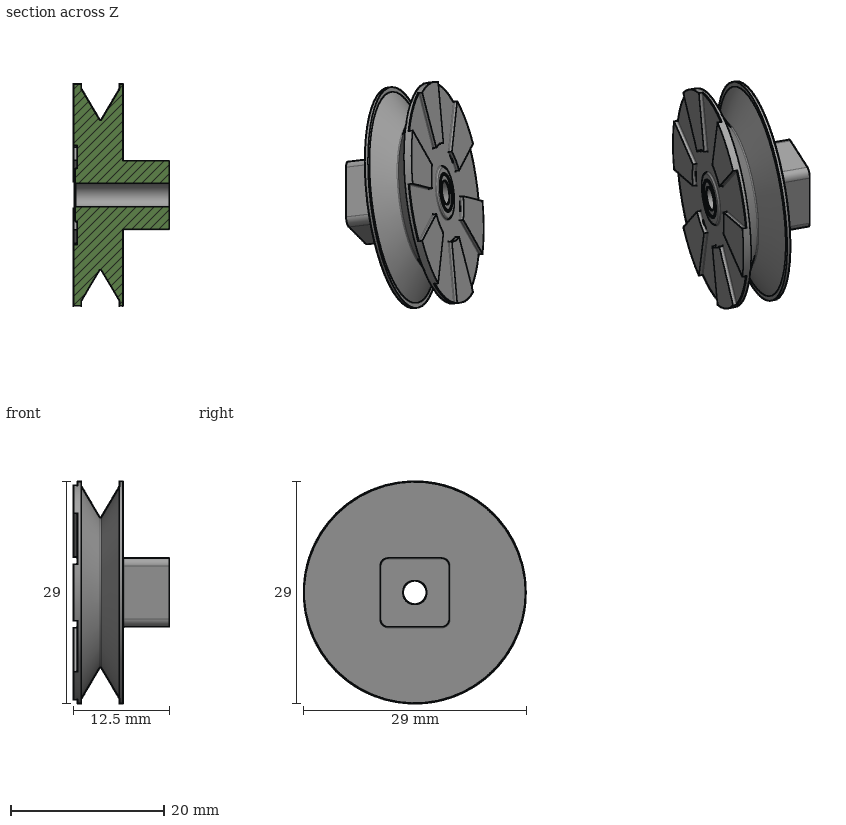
import cadquery as cq
import math


wheel_radius = 14.5
wheel_width = 6.5
wheel_edge_chamfer = 0.1

groove_start = 1.05
groove_end = 6.0
groove_mouth_radius = 13.85
groove_floor_radius = 9.77
groove_floor_width = 0.2
groove_floor_rise = 0.05

pad_count = 6
pad_angle = 29.5
pad_inner_radius = 6.47
recess_depth = 0.5
recess_overrun = 1.45
pad_base_fillet = 0.1
recess_rim_chamfer = 0.1

boss_radius = 3.5
boss_height = 0.25
boss_top = recess_depth - boss_height
boss_base_fillet = 0.1
boss_top_fillet = boss_height - boss_base_fillet
bead_ring_radius = 2.45
bead_width = 0.25
bead_height = 0.102

hub_side = 9.0
hub_length = 6.0
hub_corner_radius = 1.05
hub_edge_fillet = 0.1

bore_radius = 1.5
bore_mouth_chamfer = 0.1


def revolve_about_x(profile):
    """Turn a profile of (x, radius) drawn on the XY plane about the X axis."""
    return profile.revolve(360, (0, 0, 0), (1, 0, 0))


def wheel_body():
    """Grooved wheel with a plain front face."""
    groove_middle = (groove_start + groove_end) / 2
    floor_edge_radius = groove_floor_radius + groove_floor_rise
    profile = (
        cq.Workplane("XY")
        .lineTo(0, wheel_radius)
        .lineTo(groove_start, wheel_radius)
        .lineTo(groove_start, groove_mouth_radius)
        .lineTo(groove_middle - groove_floor_width / 2, floor_edge_radius)
        .threePointArc(
            (groove_middle, groove_floor_radius),
            (groove_middle + groove_floor_width / 2, floor_edge_radius),
        )
        .lineTo(groove_end, groove_mouth_radius)
        .lineTo(groove_end, wheel_radius)
        .lineTo(wheel_width - wheel_edge_chamfer, wheel_radius)
        .lineTo(wheel_width, wheel_radius - wheel_edge_chamfer)
        .lineTo(wheel_width, 0)
        .close()
    )
    return revolve_about_x(profile)


def pads():
    """Evenly spaced sectors that reach past the rim and through the recess depth."""
    reach = wheel_radius + 2 * recess_overrun
    half_width = reach * math.tan(math.radians(pad_angle / 2))
    height = recess_depth + recess_rim_chamfer
    wedge_corners = [(0, 0), (reach, -half_width), (reach, half_width)]
    wedge = cq.Workplane("YZ").polyline(wedge_corners).close().extrude(height)
    pad = wedge.cut(cq.Workplane("YZ").circle(pad_inner_radius).extrude(height))
    all_pads = pad
    for index in range(1, pad_count):
        all_pads = all_pads.union(pad.rotate((0, 0, 0), (1, 0, 0), index * 360 / pad_count))
    return all_pads


def recess():
    """Volume between and inside the pads, rounded where the pad walls meet its floor."""
    disc = cq.Workplane("YZ").circle(wheel_radius + recess_overrun).extrude(recess_depth)
    return disc.cut(pads()).faces(">X").edges().fillet(pad_base_fillet)


def recess_rim_bevel():
    """Ring wedges that bevel the outer edge of the recess floor between the pads."""
    ring = (
        cq.Workplane("XY")
        .moveTo(recess_depth, wheel_radius - recess_rim_chamfer)
        .lineTo(recess_depth + recess_rim_chamfer, wheel_radius)
        .lineTo(recess_depth, wheel_radius)
        .close()
    )
    return revolve_about_x(ring).cut(pads())


def boss():
    """Low boss whose rounded top edge runs into the fillet at its foot, with a raised bead."""
    foot = recess_depth - boss_base_fillet
    bulge = math.sin(math.radians(45))
    profile = (
        cq.Workplane("XY")
        .moveTo(groove_start, 0)
        .lineTo(boss_top, 0)
        .lineTo(boss_top, bead_ring_radius - bead_width / 2)
        .threePointArc(
            (boss_top - bead_height, bead_ring_radius),
            (boss_top, bead_ring_radius + bead_width / 2),
        )
        .lineTo(boss_top, boss_radius - boss_top_fillet)
        .threePointArc(
            (foot - bulge * boss_top_fillet, boss_radius - (1 - bulge) * boss_top_fillet),
            (foot, boss_radius),
        )
        .threePointArc(
            (foot + bulge * boss_base_fillet, boss_radius + (1 - bulge) * boss_base_fillet),
            (recess_depth, boss_radius + boss_base_fillet),
        )
        .lineTo(groove_start, boss_radius + boss_base_fillet)
        .close()
    )
    return revolve_about_x(profile)


def hub():
    """Square hub with rounded corners and a softened end edge."""
    return (
        cq.Workplane("YZ", origin=(wheel_width, 0, 0))
        .rect(hub_side, hub_side)
        .extrude(hub_length)
        .edges("|X")
        .fillet(hub_corner_radius)
        .faces(">X")
        .edges()
        .fillet(hub_edge_fillet)
    )


def bore():
    """Through hole along the axis, chamfered where it opens in the boss."""
    profile = (
        cq.Workplane("XY")
        .moveTo(boss_top, 0)
        .lineTo(boss_top, bore_radius + bore_mouth_chamfer)
        .lineTo(boss_top + bore_mouth_chamfer, bore_radius)
        .lineTo(wheel_width + hub_length, bore_radius)
        .lineTo(wheel_width + hub_length, 0)
        .close()
    )
    return revolve_about_x(profile)


wheel = wheel_body().cut(recess()).cut(recess_rim_bevel())

wheel_and_hub = wheel.union(hub())
back_face = wheel_and_hub.faces(cq.selectors.NearestToPointSelector((wheel_width, 0, 0)))
filleted_hub = back_face.edges("%LINE").fillet(hub_edge_fillet)

result = filleted_hub.union(boss()).cut(bore())